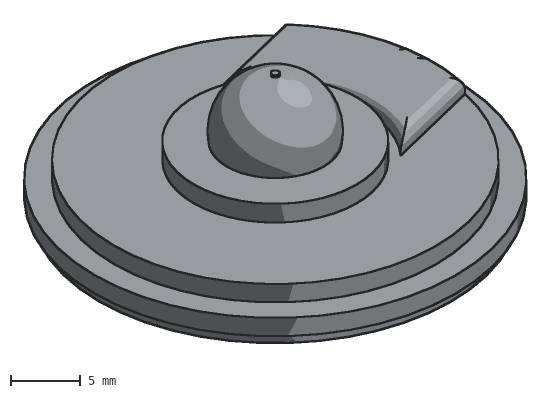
import cadquery as cq

foot_diameter = 35.0
flange_diameter = 36.0
disc_diameter = 32.0
collar_diameter = 16.2
foot_top = 0.95
flange_top = 2.52
disc_top = 4.1
collar_top = 5.72

overall_height = 11.6
ball_radius = 4.85
ball_top = 11.4
ball_center = ball_top - ball_radius

tip_diameter = 0.65

pad_width = 15.0
pad_height = 1.4
pad_inner_radius = 9.0
pad_round = 1.0
pad_top = disc_top + pad_height


def cylinder(diameter, bottom, top):
    return cq.Workplane("XY").workplane(offset=bottom).circle(diameter / 2).extrude(top - bottom)


def stepped_base():
    foot = cylinder(foot_diameter, 0, foot_top)
    flange = cylinder(flange_diameter, foot_top, flange_top)
    disc = cylinder(disc_diameter, flange_top, disc_top)
    collar = cylinder(collar_diameter, disc_top, collar_top)
    return foot.union(flange).union(disc).union(collar)


def raised_pad():
    ring = cylinder(disc_diameter, disc_top, pad_top).cut(
        cylinder(2 * pad_inner_radius, disc_top, pad_top)
    )
    strip = cq.Workplane("XY").box(pad_width, disc_diameter, pad_height, centered=(True, False, False))
    pad = ring.intersect(strip.translate((0, 0, disc_top)))
    return pad.faces(">Z").edges().fillet(pad_round)


def ball():
    sphere = cq.Workplane("XY").sphere(ball_radius).translate((0, 0, ball_center))
    return sphere.cut(cylinder(collar_diameter, 0, collar_top))


def tip():
    return cylinder(tip_diameter, ball_center, overall_height)


result = stepped_base().union(raised_pad()).union(ball()).union(tip())